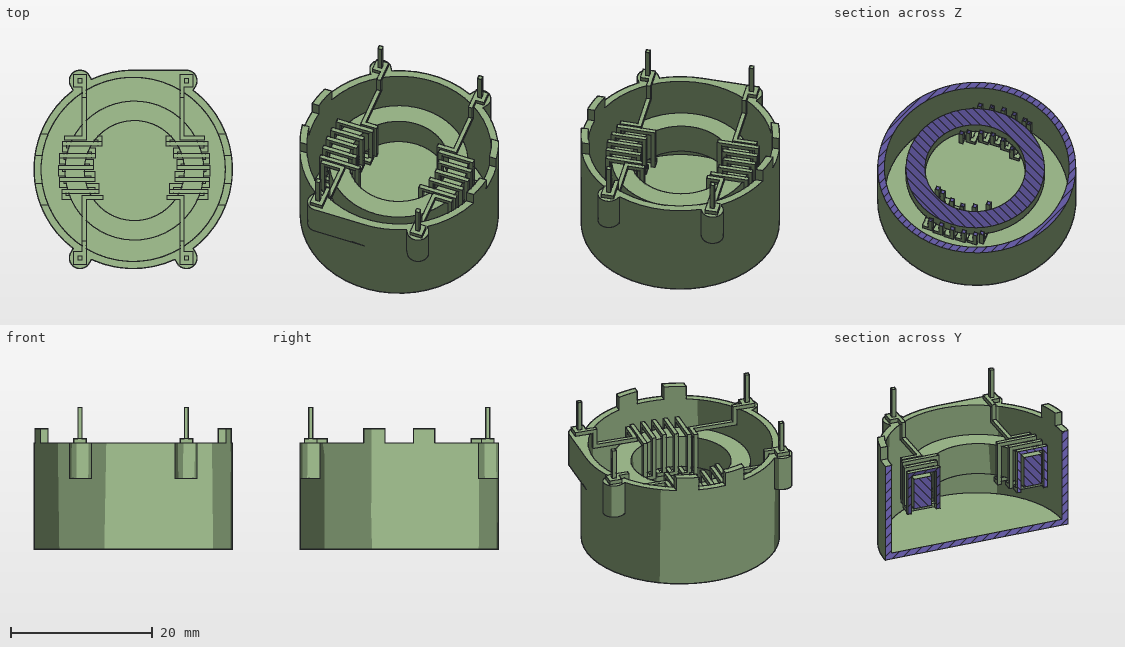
import cadquery as cq
import math

outer_radius = 14.0
wall = 1.0
inner_radius = outer_radius - wall
floor_thickness = 1.0
rim_height = 15.0
tab_height = 2.0
tab_near_y = 2.0
tab_far_y = 5.0

lug_radius = 1.5
lug_depth = 5.0
lug_x = 7.5
lug_y = outer_radius - lug_radius

core_outer_radius = 9.8
core_inner_radius = 7.05
core_center_x = 0.17
core_center_y = -0.17
core_bottom = 7.28
core_height = 4.8

overall_height = 20.0
wire = 0.6
half_wire = wire / 2
pad_size = 1.8
lead_x = lug_x - pad_size / 2 + half_wire
drop_y = 10.42
coil_top = 13.2
coil_bottom = 6.58
first_bar_y = 3.6
turn_pitch = 1.68
jog = 0.8

left_outer_reach = (9.65, 9.97, 10.35, 10.55, 10.35, 10.05)
left_inner_reach = (4.4, 5.3, 5.57, 5.38, 4.8, 4.28)
right_outer_reach = (10.08, 10.55, 10.75, 10.85, 10.75, 10.55)
right_inner_reach = (4.6, 5.68, 6.2, 5.88, 5.1, 4.8)


def make_lug(x_side, y_side):
    """Round lug with a neck of the same width that runs to the housing axis."""
    x = x_side * lug_x
    y = y_side * lug_y
    neck_length = math.hypot(x, y)
    neck_angle = math.degrees(math.atan2(y, x))
    neck = (
        cq.Workplane("XY")
        .rect(neck_length, 2 * lug_radius)
        .extrude(lug_depth)
        .translate((neck_length / 2, 0, 0))
        .rotate((0, 0, 0), (0, 0, 1), neck_angle)
    )
    head = cq.Workplane("XY").center(x, y).circle(lug_radius).extrude(lug_depth)
    return head.union(neck).translate((0, 0, rim_height - lug_depth))


def make_corner_fill():
    """Straight-sided web between the rim and the lug in the +X, +Y corner."""
    return (
        cq.Workplane("XY", origin=(0, lug_y, rim_height - lug_depth))
        .rect(lug_x, outer_radius - lug_y, centered=False)
        .extrude(lug_depth)
    )


def make_tabs():
    """Four rim tabs: the +Y and -Y strips of a disc, hollowed later with the cup."""
    strips = (
        cq.Workplane("XY", origin=(0, 0, rim_height))
        .pushPoints([(0, side * (tab_near_y + tab_far_y) / 2) for side in (-1, 1)])
        .rect(2 * outer_radius, tab_far_y - tab_near_y)
        .extrude(tab_height)
    )
    disc = cq.Workplane("XY", origin=(0, 0, rim_height)).circle(outer_radius).extrude(tab_height)
    return disc.intersect(strips)


def make_housing():
    body = cq.Workplane("XY").circle(outer_radius).extrude(rim_height)
    body = body.union(make_tabs()).union(make_corner_fill())
    for x_side in (-1, 1):
        for y_side in (-1, 1):
            body = body.union(make_lug(x_side, y_side))
    cavity = (
        cq.Workplane("XY", origin=(0, 0, floor_thickness))
        .circle(inner_radius)
        .extrude(rim_height + tab_height - floor_thickness)
    )
    return body.cut(cavity)


def make_core():
    return (
        cq.Workplane("XY", origin=(core_center_x, core_center_y, core_bottom))
        .circle(core_outer_radius)
        .circle(core_inner_radius)
        .extrude(core_height)
    )


def terminal_route(y_side):
    """Wire centerline from the pin tip to the start of the lead inside the housing."""
    pin_tip_z = overall_height - half_wire
    pad_z = rim_height + half_wire
    lead_z = coil_top - half_wire
    return [
        (lug_x, y_side * lug_y, pin_tip_z),
        (lug_x, y_side * lug_y, pad_z),
        (lead_x, y_side * lug_y, pad_z),
        (lead_x, y_side * drop_y, pad_z),
        (lead_x, y_side * drop_y, lead_z),
    ]


def coil_route(outer_reach, inner_reach):
    """Wire centerline around the core, from the +Y lead to the -Y lead."""
    top_z = coil_top - half_wire
    bottom_z = coil_bottom + half_wire
    y = first_bar_y + jog
    route = [(lead_x, y, top_z)]
    for turn, (outer, inner) in enumerate(zip(outer_reach, inner_reach)):
        outer_x = outer - half_wire
        inner_x = inner + half_wire
        bottom_y = first_bar_y + jog - turn * turn_pitch
        route += [
            (outer_x, y, top_z),
            (outer_x, y, bottom_z),
            (outer_x, bottom_y, bottom_z),
            (inner_x, bottom_y, bottom_z),
        ]
        is_last = turn == len(outer_reach) - 1
        y = bottom_y if is_last else bottom_y - jog
        route += [(inner_x, y, bottom_z), (inner_x, y, top_z)]
    route.append((lead_x, y, top_z))
    return route


def wire_segment(start, end):
    """Square wire along one axis, reaching half a wire beyond both ends."""
    lengths = [abs(b - a) + wire for a, b in zip(start, end)]
    middle = tuple((a + b) / 2 for a, b in zip(start, end))
    return cq.Workplane("XY").box(*lengths).translate(middle)


def make_pad(y_side):
    return (
        cq.Workplane("XY", origin=(lug_x, y_side * lug_y, rim_height))
        .rect(pad_size, pad_size)
        .extrude(wire)
    )


def make_winding(x_side, outer_reach, inner_reach):
    """One continuous winding, routed on the +X side and mirrored when x_side is -1."""
    route = terminal_route(1) + coil_route(outer_reach, inner_reach) + terminal_route(-1)[::-1]
    winding = make_pad(1).union(make_pad(-1))
    for start, end in zip(route, route[1:]):
        if start != end:
            winding = winding.union(wire_segment(start, end))
    winding = winding.clean()
    return winding if x_side > 0 else winding.mirror("YZ")


housing = make_housing()
core = make_core()
left_winding = make_winding(-1, left_outer_reach, left_inner_reach)
right_winding = make_winding(1, right_outer_reach, right_inner_reach)

result = cq.Compound.makeCompound(
    [body.solids().val() for body in (housing, core, left_winding, right_winding)]
)